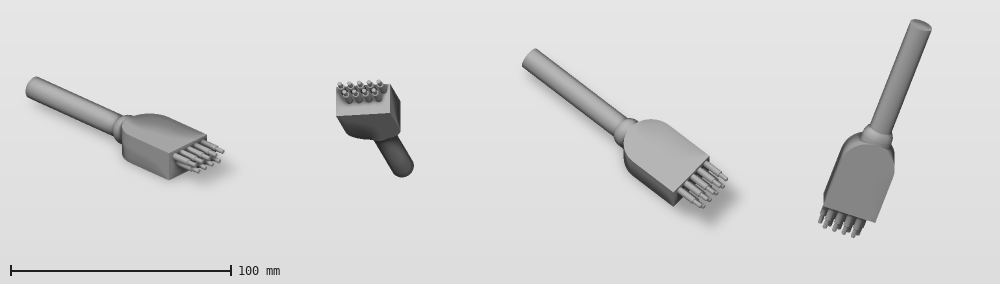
import cadquery as cq

overall_length = 110.5
cable_diameter = 10.5
collar_diameter = 14.0
cable_length = 55.0
collar_round_length = 4.1

body_width = 25.0
body_height = collar_diameter
body_end_x = 97.4

pin_diameter = 3.0
tip_diameter = 2.0
tip_length = 4.2
pin_chamfer = 0.28
pin_pitch = 4.5
row_spacing = 4.0
pin_center_y = 0.5
upper_row_count = 5
lower_row_count = upper_row_count - 1

cable_radius = cable_diameter / 2
collar_radius = collar_diameter / 2
nose_radius = body_width / 2
nose_center_x = 73.2


def make_cable():
    """Cable and rounded collar, running into the body."""
    round_rise = collar_radius - cable_radius
    round_radius = (collar_round_length**2 + round_rise**2) / (2 * round_rise)
    collar_start_x = cable_length + collar_round_length
    profile = (
        cq.Workplane("XY")
        .lineTo(0, cable_radius)
        .lineTo(cable_length, cable_radius)
        .radiusArc((collar_start_x, collar_radius), round_radius)
        .lineTo(nose_center_x, collar_radius)
        .lineTo(nose_center_x, 0)
        .close()
    )
    return profile.revolve(360, (0, 0, 0), (1, 0, 0))


def make_body():
    """Flat block with a half-round nose toward the cable."""
    return (
        cq.Workplane("XY", origin=(0, 0, -body_height / 2))
        .moveTo(body_end_x, -nose_radius)
        .lineTo(nose_center_x, -nose_radius)
        .threePointArc((nose_center_x - nose_radius, 0), (nose_center_x, nose_radius))
        .lineTo(body_end_x, nose_radius)
        .close()
        .extrude(body_height)
    )


def make_pin_row(count, z):
    """Row of stepped pins, spread evenly about the centre of the pin pattern."""
    places = [(pin_center_y + (i - (count - 1) / 2) * pin_pitch, z) for i in range(count)]
    barrel_end_x = overall_length - tip_length
    barrels = (
        cq.Workplane("YZ", origin=(body_end_x, 0, 0))
        .pushPoints(places)
        .circle(pin_diameter / 2)
        .extrude(barrel_end_x - body_end_x)
        .faces(">X")
        .chamfer(pin_chamfer)
    )
    tips = (
        cq.Workplane("YZ", origin=(barrel_end_x, 0, 0))
        .pushPoints(places)
        .circle(tip_diameter / 2)
        .extrude(tip_length)
        .faces(">X")
        .chamfer(pin_chamfer)
    )
    return barrels.union(tips)


upper_row = make_pin_row(upper_row_count, row_spacing)
lower_row = make_pin_row(lower_row_count, 0)
result = make_body().union(make_cable()).union(upper_row).union(lower_row)